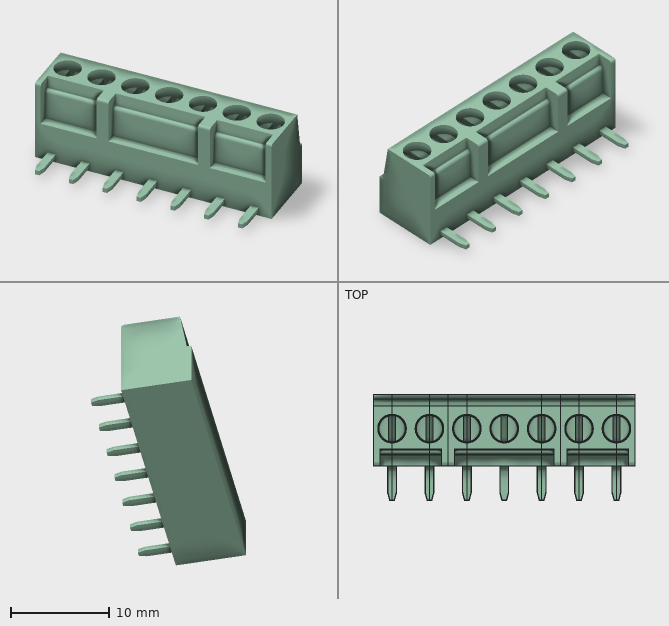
import cadquery as cq

ROW_LENGTH = 26.67
POLES_PER_MODULE = [2, 3, 2]
PITCH = ROW_LENGTH / sum(POLES_PER_MODULE)

DEPTH = 7.3
HEIGHT = 9.1
BACK_STEP_WIDTH = 0.48
BACK_STEP_HEIGHT = 4.8
BACK_TOP_INSET = 1.17
FRONT_EDGE_RADIUS = 0.3

RECESS_SIDE_WALL = 0.67
RECESS_FLOOR = 4.27
RECESS_TOP_DEPTH = 1.75
BEAD_RADIUS = 0.4
BEAD_TOP = 7.7
BEAD_BACK_DEPTH = 1.63
BEAD_FRONT_DEPTH = BEAD_BACK_DEPTH - BEAD_RADIUS
RECESS_FLOOR_DEPTH = 1.12

WELL_CENTRE_DEPTH = 3.81
WELL_DIAMETER = 2.9
WELL_DEPTH = 2.0
SCREW_DIAMETER = 2.7
SCREW_TOP_DEPTH = 1.07
SLOT_WIDTH = 0.7
SLOT_DEPTH = 0.75

PIN_LENGTH = 3.5
PIN_WIDTH = 0.9
PIN_THICKNESS = 0.5
PIN_BOTTOM = 0.48
PIN_TAPER_LENGTH = 0.8
PIN_TIP_WIDTH = 0.48


def housing_block(x_start, length):
    """Outer shape: upright front with a rounded top edge, sloping back above a step."""
    outline = [
        (0, 0),
        (DEPTH, 0),
        (DEPTH, BACK_STEP_HEIGHT),
        (DEPTH - BACK_STEP_WIDTH, BACK_STEP_HEIGHT),
        (DEPTH - BACK_TOP_INSET, HEIGHT),
        (0, HEIGHT),
    ]
    block = cq.Workplane("YZ", origin=(x_start, 0, 0)).polyline(outline).close().extrude(length)
    return block.edges("|X and <Y and >Z").fillet(FRONT_EDGE_RADIUS)


def front_recess(x_start, length):
    """Cutter open to the front and top; its back wall steps out over a quarter-round bead."""
    return (
        cq.Workplane("YZ", origin=(x_start + RECESS_SIDE_WALL, 0, 0))
        .moveTo(0, RECESS_FLOOR)
        .lineTo(RECESS_FLOOR_DEPTH, RECESS_FLOOR)
        .lineTo(BEAD_FRONT_DEPTH, BEAD_TOP - BEAD_RADIUS)
        .radiusArc((BEAD_BACK_DEPTH, BEAD_TOP), BEAD_RADIUS)
        .lineTo(RECESS_TOP_DEPTH, HEIGHT)
        .lineTo(0, HEIGHT)
        .close()
        .extrude(length - 2 * RECESS_SIDE_WALL)
    )


def screw_well(x_pole):
    """Round blind hole in the top, around and above the screw head."""
    floor = HEIGHT - WELL_DEPTH
    plane = cq.Workplane("XY", origin=(x_pole, WELL_CENTRE_DEPTH, floor))
    return plane.circle(WELL_DIAMETER / 2).extrude(WELL_DEPTH)


def screw_head(x_pole):
    """Slotted head standing on the floor of its well."""
    floor = HEIGHT - WELL_DEPTH
    top = HEIGHT - SCREW_TOP_DEPTH
    plane = cq.Workplane("XY", origin=(x_pole, WELL_CENTRE_DEPTH, floor))
    head = plane.circle(SCREW_DIAMETER / 2).extrude(top - floor)
    slot = (
        cq.Workplane("XY", origin=(x_pole, WELL_CENTRE_DEPTH, top - SLOT_DEPTH))
        .rect(SLOT_WIDTH, WELL_DIAMETER)
        .extrude(SLOT_DEPTH)
    )
    return head.cut(slot)


def pin(x_pole):
    """Flat pin with a tapered tip, standing out of the front face."""
    outline = [
        (-PIN_WIDTH / 2, 0),
        (-PIN_WIDTH / 2, PIN_TAPER_LENGTH - PIN_LENGTH),
        (-PIN_TIP_WIDTH / 2, -PIN_LENGTH),
        (PIN_TIP_WIDTH / 2, -PIN_LENGTH),
        (PIN_WIDTH / 2, PIN_TAPER_LENGTH - PIN_LENGTH),
        (PIN_WIDTH / 2, 0),
    ]
    plane = cq.Workplane("XY", origin=(x_pole, 0, PIN_BOTTOM))
    return plane.polyline(outline).close().extrude(PIN_THICKNESS)


def whole_module(x_start, pole_places):
    """One module before slicing, with a screw and a pin at every pole."""
    length = len(pole_places) * PITCH
    module = housing_block(x_start, length).cut(front_recess(x_start, length))
    for x_pole in pole_places:
        module = module.cut(screw_well(x_pole)).union(screw_head(x_pole)).union(pin(x_pole))
    return module


def slice_between(module, x_from, x_to):
    """The part of a module between two planes across the row."""
    full_depth = DEPTH + PIN_LENGTH
    slab = cq.Workplane("XY", origin=(x_from, -PIN_LENGTH, 0)).box(
        x_to - x_from, full_depth, HEIGHT, centered=False
    )
    return module.intersect(slab)


end_slices = []
centre_slices = []
module_start = -ROW_LENGTH / 2
for pole_count in POLES_PER_MODULE:
    module_end = module_start + pole_count * PITCH
    poles = [module_start + (i + 0.5) * PITCH for i in range(pole_count)]
    module = whole_module(module_start, poles)
    end_slices.append(slice_between(module, module_start, poles[0]))
    centre_slices.append(slice_between(module, poles[0], poles[-1]))
    end_slices.append(slice_between(module, poles[-1], module_end))
    module_start = module_end

result = cq.Compound.makeCompound([body.val() for body in end_slices + centre_slices])